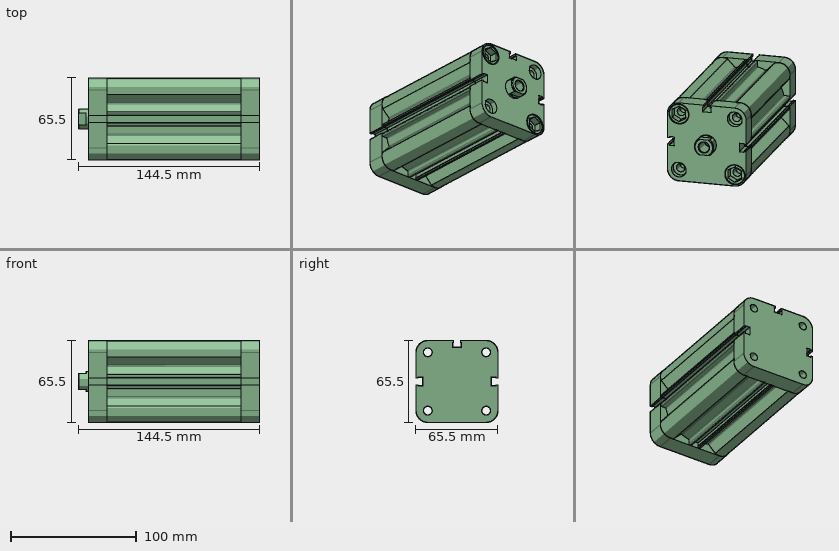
import cadquery as cq
import math


total_length = 144.5
cap_size = 65.5
cap_length = 14.7
rod_protrusion = 8.0
tube_length = total_length - rod_protrusion - 2 * cap_length
tube_start = cap_length
rear_cap_start = tube_start + tube_length
half_cap = cap_size / 2

corner_offset = 23.3
corner_hole_diameter = 6.8
cap_corner_radius = half_cap - corner_offset

counterbore_diameter = 12.1
counterbore_depth = 5.0
hex_across_flats = 11.3
hex_depth = 7.0
socket_recess_diameter = 16.5
socket_recess_depth = 0.6
socket_groove_width = 0.3
socket_groove_depth = 0.9

cap_mouth_width = 5.5
cap_slot_width = 7.2
cap_lip_thickness = 1.7
cap_slot_depth = 5.6

tube_half = 32.5
tube_core_radius = 28.0
lobe_radius = tube_half - corner_offset
lobe_edge_offset = 19.5
lobe_edge_height = corner_offset + math.sqrt(lobe_radius**2 - (corner_offset - lobe_edge_offset) ** 2)
flank_foot = lobe_edge_height - lobe_edge_offset
valley_fillet = 1.0
rib_width = 11.0
rib_shoulder_radius = 1.3
rib_foot_fillet = 0.5
tube_mouth_outer_width = 6.5
tube_mouth_inner_width = 5.8
tube_slot_width = 6.6
tube_slot_depth = 4.9
tube_slot_floor = tube_half - tube_slot_depth
tube_lip_underside = half_cap - cap_lip_thickness

rod_diameter = 16.0
rod_chamfer = 0.7
rod_flat_width = 12.9
rod_flat_length = 6.2
rod_length = rod_protrusion + cap_length
thread_hole_diameter = 8.5
thread_hole_depth = 15.9
thread_countersink = 0.5
drill_point_half_angle = math.radians(59)

side_angles = (0, 90, 180, 270)
slotted_cap_angles = (0, 90, 270)
socket_corners = [(corner_offset, corner_offset), (-corner_offset, -corner_offset)]
counterbore_corners = [(corner_offset, -corner_offset), (-corner_offset, corner_offset)]


def section(x):
    """Workplane across the cylinder at the given X, with local axes Y and Z."""
    return cq.Workplane("YZ", origin=(x, 0, 0))


def around_axis(shape, angle):
    """Copy of a shape turned about the cylinder axis."""
    return shape.rotate((0, 0, 0), (1, 0, 0), angle)


def upright_block(start, length, width, bottom, top):
    """Block along X, centred on Y, between two heights."""
    middle = (bottom + top) / 2
    return section(start).center(0, middle).rect(width, top - bottom).extrude(length)


def corner_holes(start, length):
    """Cutter for the four corner holes over one length of the cylinder."""
    corners = counterbore_corners + socket_corners
    return section(start).pushPoints(corners).circle(corner_hole_diameter / 2).extrude(length)


def make_cap(start):
    """Rounded square cap with corner holes and T-slots on the top and both sides."""
    cap = section(start).rect(cap_size, cap_size).extrude(cap_length)
    cap = cap.edges("|X").fillet(cap_corner_radius)
    cap = cap.cut(corner_holes(start, cap_length))
    floor = half_cap - cap_slot_depth
    mouth = upright_block(start, cap_length, cap_mouth_width, floor, half_cap)
    channel = upright_block(start, cap_length, cap_slot_width, floor, half_cap - cap_lip_thickness)
    slot = mouth.union(channel)
    for angle in slotted_cap_angles:
        cap = cap.cut(around_axis(slot, angle))
    return cap


def make_front_cap():
    """Cap with the rod bore and the recesses of its outer face."""
    cap = make_cap(0)
    rod_bore = section(0).circle(rod_diameter / 2).extrude(cap_length)
    counterbores = (
        section(0)
        .pushPoints(counterbore_corners)
        .circle(counterbore_diameter / 2)
        .extrude(counterbore_depth)
    )

    hex_diameter = hex_across_flats / math.cos(math.pi / 6)
    hexagon = section(0).polygon(6, hex_diameter).extrude(hex_depth)
    hexagon = around_axis(hexagon, 90)
    recess_radius = socket_recess_diameter / 2
    recess = section(0).circle(recess_radius).extrude(socket_recess_depth)
    groove_inner_radius = recess_radius - socket_groove_width
    groove = section(0).circle(recess_radius).circle(groove_inner_radius).extrude(socket_groove_depth)
    socket = hexagon.union(recess).union(groove)

    cap = cap.cut(rod_bore).cut(counterbores)
    for y, z in socket_corners:
        cap = cap.cut(socket.translate((0, y, z)))
    return cap


def make_corner_lobe():
    """Rounded corner of the tube, with a 45 degree flank on each side."""
    crest = corner_offset + lobe_radius * math.cos(math.pi / 4)
    return (
        section(tube_start)
        .moveTo(0, flank_foot)
        .lineTo(lobe_edge_offset, lobe_edge_height)
        .threePointArc((crest, crest), (lobe_edge_height, lobe_edge_offset))
        .lineTo(flank_foot, 0)
        .lineTo(0, 0)
        .close()
        .extrude(tube_length)
    )


def fillet_inner_edges(tube, across, height, radius):
    """Fillet the eight lengthwise edges that lie at (across, height) from the middle of a side."""
    middle = tube_start + tube_length / 2
    for y, z in ((across, height), (height, across)):
        for y_sign in (1, -1):
            for z_sign in (1, -1):
                edge_middle = (middle, y_sign * y, z_sign * z)
                tube = tube.edges(cq.NearestToPointSelector(edge_middle)).fillet(radius)
    return tube


def make_tube():
    """Extruded tube: round core, four corner lobes and a slotted rib on each side."""
    tube = section(tube_start).circle(tube_core_radius).extrude(tube_length)
    lobe = make_corner_lobe()
    for angle in side_angles:
        tube = tube.union(around_axis(lobe, angle))

    valley_inner = (math.sqrt(2 * tube_core_radius**2 - flank_foot**2) - flank_foot) / 2
    tube = fillet_inner_edges(tube, valley_inner, valley_inner + flank_foot, valley_fillet)

    rib = upright_block(tube_start, tube_length, rib_width, 0, tube_half)
    rib = rib.edges("|X and >Z").fillet(rib_shoulder_radius)
    for angle in side_angles:
        tube = tube.union(around_axis(rib, angle))

    rib_foot_height = math.sqrt(tube_core_radius**2 - (rib_width / 2) ** 2)
    tube = fillet_inner_edges(tube, rib_width / 2, rib_foot_height, rib_foot_fillet)

    mouth = (
        section(tube_start)
        .moveTo(-tube_mouth_outer_width / 2, tube_half)
        .lineTo(tube_mouth_outer_width / 2, tube_half)
        .lineTo(tube_mouth_inner_width / 2, tube_lip_underside)
        .lineTo(-tube_mouth_inner_width / 2, tube_lip_underside)
        .close()
        .extrude(tube_length)
    )
    channel = upright_block(tube_start, tube_length, tube_slot_width, tube_slot_floor, tube_lip_underside)
    slot = mouth.union(channel)
    for angle in side_angles:
        tube = tube.cut(around_axis(slot, angle))
    return tube.cut(corner_holes(tube_start, tube_length))


def make_rod():
    """Piston rod with two wrench flats and a drilled, countersunk front hole."""
    tip = -rod_protrusion
    rod = section(tip).circle(rod_diameter / 2).extrude(rod_length)
    rod = rod.faces("<X").chamfer(rod_chamfer)
    for angle in (0, 180):
        flat = upright_block(tip, rod_flat_length, rod_diameter, rod_flat_width / 2, rod_diameter)
        rod = rod.cut(around_axis(flat, angle))

    hole_radius = thread_hole_diameter / 2
    mouth_radius = hole_radius + thread_countersink
    point_length = hole_radius / math.tan(drill_point_half_angle)
    hole = (
        cq.Workplane("XY")
        .moveTo(tip, 0)
        .lineTo(tip, mouth_radius)
        .lineTo(tip + thread_countersink, hole_radius)
        .lineTo(tip + thread_hole_depth, hole_radius)
        .lineTo(tip + thread_hole_depth + point_length, 0)
        .close()
        .revolve(360, (0, 0, 0), (1, 0, 0))
    )
    return rod.cut(hole)


front_cap = make_front_cap()
tube = make_tube()
rear_cap = make_cap(rear_cap_start)
rod = make_rod()

result = cq.Compound.makeCompound([front_cap.val(), tube.val(), rear_cap.val(), rod.val()])